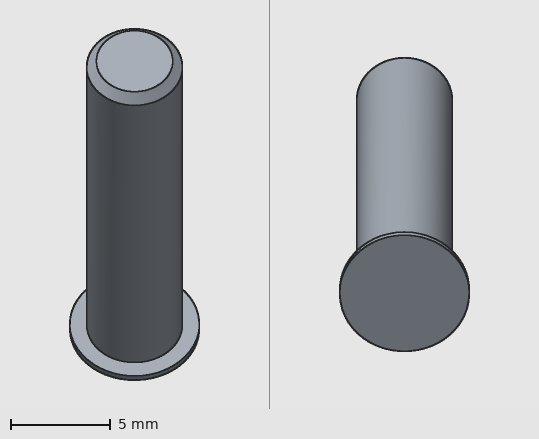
import cadquery as cq

total_height = 22.23
pin_diameter = 4.8
flange_diameter = 6.5
flange_thickness = 0.35
tip_chamfer = 0.5

flange = cq.Workplane("XY").circle(flange_diameter / 2).extrude(flange_thickness)

pin = (
    cq.Workplane("XY")
    .circle(pin_diameter / 2)
    .extrude(total_height)
    .faces(">Z")
    .chamfer(tip_chamfer)
)

result = flange.union(pin)